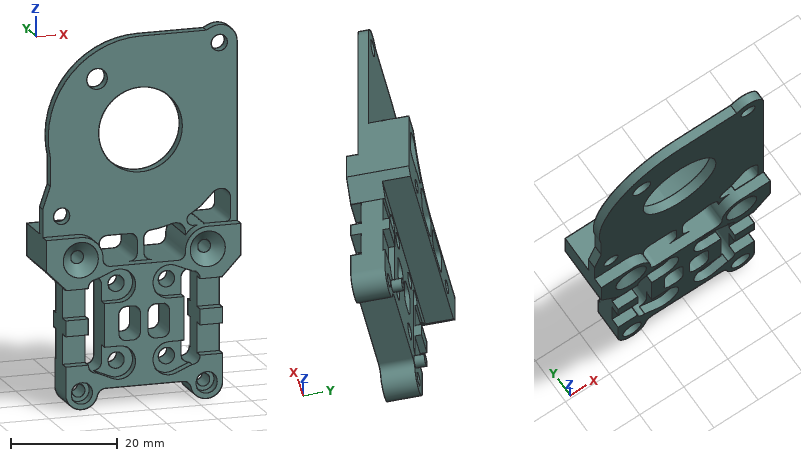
import math

import cadquery as cq

plate_front = 2.2
plate_thickness = 2.0
plate_back = plate_front + plate_thickness
body_depth = 6.6
total_depth = 12.0

total_height = 71.95
fan_z = 52.9
fan_opening_diameter = 16.5
fan_outline_radius = 18.2
mount_hole_offset = 15.55
mount_hole_diameter = 3.2
mount_ear_radius = total_height - fan_z - mount_hole_offset
wire_hole = (-8.55, 63.45)
wire_hole_diameter = 4.0
ear_blend_start_x = 12.95
waist_x = -17.8
waist_bottom = 43.4
shoulder_z = 39.0

total_width = 38.35
right_side = mount_hole_offset + mount_ear_radius
left_side = right_side - total_width
body_half_width = 15.5
body_bottom = 3.75
chamfer_top = 27.4
chamfer_bottom = 23.6

boss_x = 12.5
boss_z = 29.15
boss_radius = 4.4
boss_top = boss_z + boss_radius
screw_diameter = 2.5
countersink_diameter = 6.9
corner_radius = 1.5

rear_bottom = 26.0
rear_left_top = 33.75
rear_right_top = 42.15
rear_curve_start_x = 0.8
rear_curve_end_x = 15.2
rear_curve_radius = 19.15

window_floor = chamfer_top
window_arc_radius = 19.85
window_left_top = 32.8
window_rib_half_width = 0.65
middle_window_right = 8.85
middle_window_peak_radius = 2.0
right_window_floor = 33.3
right_window_side = 17.8
right_window_kink_x = 11.9
right_window_top_radius = 2.0
right_window_low_radius = 1.2

ear_x = 12.3
ear_z = 3.2
ear_radius = ear_z
ear_fillet_radius = 1.65
ear_bore_diameter = 4.2
ear_bore_depth = 2.0
slot_x = 9.4
slot_width = 3.2
slot_bottom = 6.9
slot_top = 25.1
pad_hole_x = 5.0
pad_hole_pitch_z = 15.0
pad_middle_z = (slot_bottom + slot_top) / 2
pad_hole_diameter = 3.2
pocket_radius = 3.25
pocket_depth = 1.8
oval_x = 2.9
oval_size = (4.25, 6.6)
rail_bottom = 8.55
rail_top = 23.45
rail_front_recess = 2.0
rail_back_recess = 0.4
rail_inner_x = slot_x + slot_width / 2
rail_block_height = 3.1
rail_block_bottom = pad_middle_z - rail_block_height / 2
rail_block_top = rail_block_bottom + rail_block_height
rail_block_projection = 0.85
pin_x = slot_x
pin_z = 4.8
pin_diameter = 2.4
pin_length = 2.0


def face_at(y):
    """Sketch plane facing the front, with local axes X and Z."""
    return cq.Workplane("XZ", origin=(0, y, 0))


def prism(outline, y_start, y_end):
    """Closed outline drawn on face_at(y_start), extruded toward the back."""
    return outline.close().extrude(y_start - y_end)


def box(x_start, x_end, y_start, y_end, z_start, z_end):
    corner = (x_start, y_start, z_start)
    size = (x_end - x_start, y_end - y_start, z_end - z_start)
    return cq.Workplane("XY").box(*size, centered=False).translate(corner)


def cylinders(points, diameter, y_start, y_end):
    return face_at(y_start).pushPoints(points).circle(diameter / 2).extrude(y_start - y_end)


def both_sides(shape):
    """Add the mirror image across the YZ plane."""
    return shape.union(shape.mirror("YZ"))


def tangent_point(point, center, radius, side):
    """Where a line from point touches a circle; side is +1 or -1."""
    dx = point[0] - center[0]
    dz = point[1] - center[1]
    angle = math.atan2(dz, dx) + side * math.acos(radius / math.hypot(dx, dz))
    return center[0] + radius * math.cos(angle), center[1] + radius * math.sin(angle)


def on_circle(center, radius, degrees):
    angle = math.radians(degrees)
    return center[0] + radius * math.cos(angle), center[1] + radius * math.sin(angle)


def upper_plate():
    plate_top = fan_z + fan_outline_radius
    ear_center = (mount_hole_offset, fan_z + mount_hole_offset)
    blend_start = (ear_blend_start_x, plate_top)
    blend_end = tangent_point(blend_start, ear_center, mount_ear_radius, -1)
    waist_top = fan_z - math.sqrt(fan_outline_radius**2 - waist_x**2)
    outline = (
        face_at(plate_front)
        .moveTo(left_side, chamfer_top)
        .lineTo(left_side, shoulder_z)
        .lineTo(waist_x, waist_bottom)
        .lineTo(waist_x, waist_top)
        .threePointArc(on_circle((0, fan_z), fan_outline_radius, 135), (0, plate_top))
        .lineTo(*blend_start)
        .lineTo(*blend_end)
        .threePointArc(on_circle(ear_center, mount_ear_radius, 60), (right_side, ear_center[1]))
        .lineTo(right_side, chamfer_top)
    )
    return prism(outline, plate_front, plate_back)


def lower_body():
    fillet_z = body_bottom - ear_fillet_radius
    reach = ear_radius + ear_fillet_radius
    fillet_x = ear_x - math.sqrt(reach**2 - (fillet_z - ear_z) ** 2)
    fillet_center = (fillet_x, fillet_z)
    share = ear_radius / reach
    touch = (ear_x + (fillet_x - ear_x) * share, ear_z + (fillet_z - ear_z) * share)
    outline = (
        face_at(0)
        .moveTo(0, body_bottom)
        .lineTo(fillet_x, body_bottom)
        .threePointArc(on_circle(fillet_center, ear_fillet_radius, 45), touch)
        .threePointArc((ear_x, ear_z - ear_radius), (body_half_width, ear_z))
        .lineTo(body_half_width, chamfer_bottom)
        .lineTo(0, chamfer_bottom)
    )
    shoulders = (
        face_at(0)
        .moveTo(-body_half_width, chamfer_bottom)
        .lineTo(body_half_width, chamfer_bottom)
        .lineTo(right_side, chamfer_top)
        .lineTo(left_side, chamfer_top)
    )
    return both_sides(prism(outline, 0, body_depth)).union(prism(shoulders, 0, body_depth))


def screw_boss(side_x, depth):
    """Boss at +X reaching out to side_x."""
    inner_x = boss_x - boss_radius
    fillet_center = (inner_x - corner_radius, chamfer_top + corner_radius)
    outline = (
        face_at(0)
        .moveTo(boss_x, boss_top)
        .threePointArc(on_circle((boss_x, boss_z), boss_radius, 135), (inner_x, boss_z))
        .lineTo(inner_x, fillet_center[1])
        .threePointArc(on_circle(fillet_center, corner_radius, -45), (fillet_center[0], chamfer_top))
        .lineTo(side_x, chamfer_top)
        .lineTo(side_x, boss_top)
    )
    return prism(outline, 0, depth)


def screw_bosses(depth):
    return screw_boss(right_side, depth).union(screw_boss(-left_side, depth).mirror("YZ"))


def rear_block():
    share = (chamfer_top - rear_bottom) / (chamfer_top - chamfer_bottom)
    bottom_left = left_side - share * (left_side + body_half_width)
    bottom_right = right_side - share * (right_side - body_half_width)
    outline = (
        face_at(plate_front)
        .moveTo(bottom_left, rear_bottom)
        .lineTo(left_side, chamfer_top)
        .lineTo(left_side, rear_left_top)
        .lineTo(rear_curve_start_x, rear_left_top)
        .radiusArc((rear_curve_end_x, rear_right_top), -rear_curve_radius)
        .lineTo(right_side, rear_right_top)
        .lineTo(right_side, chamfer_top)
        .lineTo(bottom_right, rear_bottom)
    )
    return prism(outline, plate_front, total_depth)


def window_arc_z(x):
    return fan_z - math.sqrt(window_arc_radius**2 - x**2)


def left_window():
    left = boss_radius - boss_x
    right = -window_rib_half_width
    window = box(left, right, 0, total_depth, window_floor, window_left_top)
    return window.edges("|Y").fillet(corner_radius)


def middle_window():
    left = window_rib_half_width
    right = middle_window_right
    middle = (left + right) / 2
    outline = (
        face_at(0)
        .moveTo(left, window_floor)
        .lineTo(left, window_arc_z(left))
        .threePointArc((middle, window_arc_z(middle)), (right, window_arc_z(right)))
        .lineTo(right, window_floor)
    )
    window = prism(outline, 0, total_depth)
    window = window.edges("|Y and >X and >Z").fillet(middle_window_peak_radius)
    return window.edges("|Y and <X").fillet(corner_radius)


def right_window():
    kink_z = window_arc_z(right_window_kink_x)
    tip_x = math.sqrt(window_arc_radius**2 - (fan_z - right_window_floor) ** 2)
    middle = (tip_x + right_window_kink_x) / 2
    side_top = kink_z + right_window_side - right_window_kink_x
    outline = (
        face_at(plate_front)
        .moveTo(tip_x, right_window_floor)
        .threePointArc((middle, window_arc_z(middle)), (right_window_kink_x, kink_z))
        .lineTo(right_window_side, side_top)
        .lineTo(right_window_side, right_window_floor)
    )
    low_corner_point = (right_window_side, total_depth / 2, right_window_floor)
    low_corner = cq.selectors.NearestToPointSelector(low_corner_point)
    window = prism(outline, plate_front, total_depth)
    window = window.edges("|Y and >Z").fillet(right_window_top_radius)
    window = window.edges("|Y and <X").fillet(right_window_low_radius)
    return window.edges(low_corner).fillet(right_window_low_radius)


def plate_holes():
    mounts = [
        (-mount_hole_offset, fan_z - mount_hole_offset),
        (mount_hole_offset, fan_z + mount_hole_offset),
    ]
    holes = cylinders(mounts, mount_hole_diameter, plate_front, plate_back)
    holes = holes.union(cylinders([wire_hole], wire_hole_diameter, plate_front, plate_back))
    return holes.union(cylinders([(0, fan_z)], fan_opening_diameter, plate_front, plate_back))


def countersunk_holes():
    points = [(-boss_x, boss_z), (boss_x, boss_z)]
    cone_depth = (countersink_diameter - screw_diameter) / 2
    cone = cq.Solid.makeCone(
        countersink_diameter / 2,
        screw_diameter / 2,
        cone_depth,
        pnt=cq.Vector(boss_x, 0, boss_z),
        dir=cq.Vector(0, 1, 0),
    )
    return cylinders(points, screw_diameter, 0, total_depth).union(both_sides(cq.Workplane(cone)))


def ear_holes():
    points = [(-ear_x, ear_z), (ear_x, ear_z)]
    through = cylinders(points, screw_diameter, 0, body_depth)
    return through.union(cylinders(points, ear_bore_diameter, 0, ear_bore_depth))


def body_slots():
    length = slot_top - slot_bottom
    slots = face_at(0).pushPoints([(-slot_x, pad_middle_z), (slot_x, pad_middle_z)])
    slots = slots.slot2D(length, slot_width, 90).extrude(-body_depth)
    ovals = face_at(0).pushPoints([(-oval_x, pad_middle_z), (oval_x, pad_middle_z)])
    ovals = ovals.rect(*oval_size).extrude(-body_depth).edges("|Y").fillet(corner_radius)
    return slots.union(ovals)


def screw_pockets():
    """Four holes, each in a shallow pocket that opens into the nearby slot."""
    center = (pad_hole_x, pad_middle_z + pad_hole_pitch_z / 2)
    slot_tip = (slot_x, slot_top)
    touch = tangent_point(slot_tip, center, pocket_radius, 1)
    low_z = center[1] - pocket_radius
    outline = (
        face_at(0)
        .moveTo(*slot_tip)
        .lineTo(*touch)
        .threePointArc((center[0] - pocket_radius, center[1]), (center[0], low_z))
        .lineTo(slot_x, low_z)
    )
    upper = prism(outline, 0, pocket_depth)
    upper = both_sides(upper.union(cylinders([center], pad_hole_diameter, 0, body_depth)))
    return upper.union(upper.mirror("XY", (0, 0, pad_middle_z)))


def rail_recesses():
    """Front and back recesses on each side rail, above and below the middle block."""
    recesses = cq.Workplane()
    for z_start, z_end in [(rail_bottom, rail_block_bottom), (rail_block_top, rail_top)]:
        front = box(rail_inner_x, body_half_width, 0, rail_front_recess, z_start, z_end)
        back = box(rail_inner_x, body_half_width, body_depth - rail_back_recess, body_depth, z_start, z_end)
        recesses = recesses.add(front).add(back)
    return both_sides(recesses.combine())


def rail_blocks():
    """The middle blocks, which stand proud of the back of the rails."""
    back = body_depth + rail_block_projection
    block = box(rail_inner_x, body_half_width, rail_front_recess, back, rail_block_bottom, rail_block_top)
    return both_sides(block)


def rear_pins():
    points = [(-pin_x, pin_z), (pin_x, pin_z)]
    return cylinders(points, pin_diameter, body_depth - rail_back_recess, body_depth + pin_length)


boss_inner_side = both_sides(screw_boss(boss_x, total_depth))
windows = left_window().union(middle_window()).union(right_window()).cut(boss_inner_side)

result = upper_plate().union(lower_body()).union(rear_block()).union(screw_bosses(plate_front))
result = result.cut(windows).cut(plate_holes()).cut(countersunk_holes())
result = result.cut(body_slots()).cut(screw_pockets()).cut(rail_recesses())
result = result.union(rail_blocks()).union(rear_pins()).cut(ear_holes())